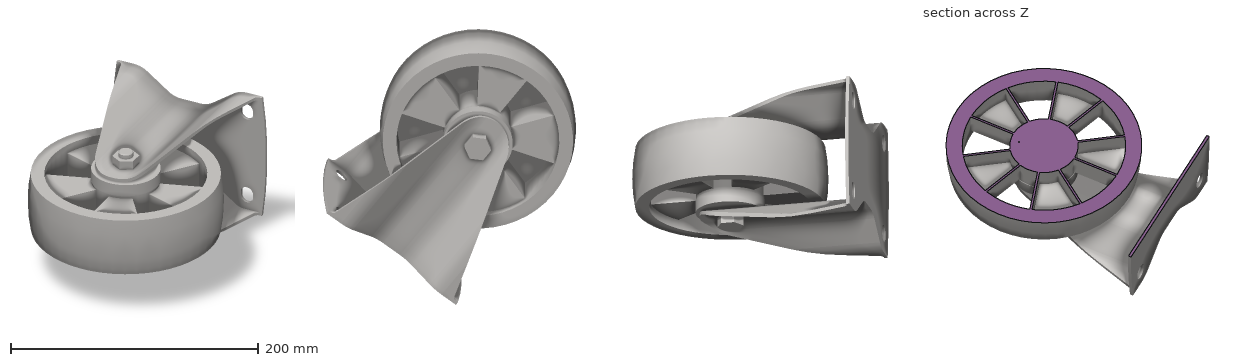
import cadquery as cq
import math


tread_radius = 159.0 / 2
tread_edge_radius = 77.0
wheel_width = 50.0
rim_bore_radius = 132.0 / 2
web_recess = 7.5
web_wall = 2.1
sector_count = 10
hub_radius = 27.8
hub_cap_radius = 28.2
hub_cap_height = 10.5
hub_half_width = 30.2

total_length = 194.5
bracket_height = 110.0
sheet = 2.7
leg_gap = 62.0
bend_angle = math.radians(35.5)
lower_bend_radius = 19.5
upper_bend_radius = 20.8
upper_bend_inner_radius = 11.7
leg_flat_half_width = 8.8
plate_half_width = 69.9
plate_end_half_width = 66.0
leg_tip_radius = 50.0 / 2
leg_root_half_width = 61.3
leg_root_fillet = 4.3

slot_width = 11.0
slot_length = 14.0
slot_spacing_x = 105.0
slot_spacing_z = 77.5

bolt_diameter = 12.0
bolt_chamfer = 0.8
bolt_protrusion = 4.3
spacer_diameter = 20.0
hex_across_flats = 18.9
hex_height = 7.8

wheel_half_width = wheel_width / 2
web_half_width = wheel_half_width - web_recess
plate_back_y = total_length - tread_radius
plate_inner_y = plate_back_y - sheet
leg_length = plate_back_y + leg_tip_radius
bracket_half_height = bracket_height / 2
leg_inner_z = leg_gap / 2
leg_outer_z = leg_inner_z + sheet
nut_top_z = leg_outer_z + hex_height
bolt_top_z = nut_top_z + bolt_protrusion


def disc(radius, z_bottom, z_top):
    return cq.Workplane("XY").workplane(offset=z_bottom).circle(radius).extrude(z_top - z_bottom)


def web_pocket(angle, z_bottom, z_top):
    """Sector pocket whose side walls leave half of web_wall on each sector boundary."""
    half_angle = math.pi / sector_count
    apex = web_wall / 2 / math.sin(half_angle)
    reach = tread_radius
    spread = (reach - apex) * math.tan(half_angle)
    wedge = (
        cq.Workplane("XY")
        .workplane(offset=z_bottom)
        .polyline([(apex, 0), (reach, -spread), (reach, spread)])
        .close()
        .extrude(z_top - z_bottom)
        .rotate((0, 0, 0), (0, 0, 1), angle)
    )
    ring = disc(rim_bore_radius, z_bottom, z_top).cut(disc(hub_radius, z_bottom, z_top))
    return wedge.intersect(ring)


def make_wheel():
    wheel = (
        cq.Workplane("XZ")
        .moveTo(0, -wheel_half_width)
        .lineTo(tread_edge_radius, -wheel_half_width)
        .threePointArc((tread_radius, 0), (tread_edge_radius, wheel_half_width))
        .lineTo(0, wheel_half_width)
        .close()
        .revolve(360, (0, 0, 0), (0, 1, 0))
    )
    wheel = wheel.cut(disc(rim_bore_radius, web_half_width, wheel_half_width))
    wheel = wheel.cut(disc(rim_bore_radius, -wheel_half_width, -web_half_width))

    for index in range(sector_count):
        angle = index * 360 / sector_count
        if index % 2:
            wheel = wheel.cut(web_pocket(angle, web_wall - web_half_width, web_half_width))
        else:
            wheel = wheel.cut(web_pocket(angle, -web_half_width, web_half_width - web_wall))

    wheel = wheel.union(disc(hub_radius, -hub_half_width, hub_half_width))
    cap_inner_z = hub_half_width - hub_cap_height
    wheel = wheel.union(disc(hub_cap_radius, cap_inner_z, hub_half_width))
    return wheel.union(disc(hub_cap_radius, -hub_half_width, -cap_inner_z))


def bracket_envelope(inset, high_r, length):
    """Prism from the plate back along -Y, bounded by the leg surfaces moved inwards by inset.

    high_r is the radius of the bends beside the upper flats. The lower bends stay concentric.
    """
    low_r = lower_bend_radius + inset
    sin_full, cos_full = math.sin(bend_angle), math.cos(bend_angle)
    sin_half, cos_half = math.sin(bend_angle / 2), math.cos(bend_angle / 2)

    low_z = leg_outer_z - inset
    high_z = bracket_half_height - inset
    slope_rise = bracket_half_height - leg_outer_z
    slope_rise -= (lower_bend_radius + upper_bend_radius) * (1 - cos_full)
    slope_run = slope_rise / math.tan(bend_angle)
    low_x = leg_flat_half_width
    high_x = low_x + (lower_bend_radius + upper_bend_radius) * sin_full + slope_run
    high_x -= (upper_bend_radius - inset - high_r) * math.tan(bend_angle / 2)

    low_mid = (low_x + low_r * sin_half, low_z + low_r * (1 - cos_half))
    low_end = (low_x + low_r * sin_full, low_z + low_r * (1 - cos_full))
    high_mid = (high_x - high_r * sin_half, high_z - high_r * (1 - cos_half))
    high_start = (high_x - high_r * sin_full, high_z - high_r * (1 - cos_full))

    quarter = (
        cq.Workplane("XZ", origin=(0, plate_back_y, 0))
        .lineTo(0, low_z)
        .lineTo(low_x, low_z)
        .threePointArc(low_mid, low_end)
        .lineTo(*high_start)
        .threePointArc(high_mid, (high_x, high_z))
        .lineTo(plate_half_width, high_z)
        .lineTo(plate_half_width, 0)
        .close()
        .extrude(length)
    )
    half = quarter.union(quarter.mirror("XY"))
    return half.union(half.mirror("YZ"))


def leg_outline():
    """Tapered legs: flanks tangent to the round tip, flared into the mounting plate."""
    root_distance = math.hypot(leg_root_half_width, plate_inner_y)
    tangent_angle = math.atan2(plate_inner_y, leg_root_half_width)
    tangent_angle -= math.acos(leg_tip_radius / root_distance)
    tangent_x = leg_tip_radius * math.cos(tangent_angle)
    tangent_y = leg_tip_radius * math.sin(tangent_angle)
    flanks = (
        cq.Workplane("XY")
        .workplane(offset=-bracket_half_height)
        .moveTo(tangent_x, tangent_y)
        .lineTo(leg_root_half_width, plate_inner_y)
        .lineTo(plate_half_width, plate_inner_y)
        .lineTo(plate_half_width, plate_back_y)
        .lineTo(-plate_half_width, plate_back_y)
        .lineTo(-plate_half_width, plate_inner_y)
        .lineTo(-leg_root_half_width, plate_inner_y)
        .lineTo(-tangent_x, tangent_y)
        .threePointArc((0, -leg_tip_radius), (tangent_x, tangent_y))
        .close()
        .extrude(bracket_height)
    )
    roots = cq.selectors.BoxSelector(
        (-leg_root_half_width - sheet / 2, plate_inner_y - sheet / 2, -bracket_height),
        (leg_root_half_width + sheet / 2, plate_inner_y + sheet / 2, bracket_height),
    )
    return flanks.edges("|Z").edges(roots).fillet(leg_root_fillet)


def make_bracket():
    bowed = (
        cq.Workplane("XZ", origin=(0, plate_back_y, 0))
        .moveTo(-plate_end_half_width, bracket_half_height)
        .lineTo(plate_end_half_width, bracket_half_height)
        .threePointArc((plate_half_width, 0), (plate_end_half_width, -bracket_half_height))
        .lineTo(-plate_end_half_width, -bracket_half_height)
        .threePointArc((-plate_half_width, 0), (-plate_end_half_width, bracket_half_height))
        .close()
        .extrude(leg_length)
    )
    plate = bracket_envelope(0, upper_bend_radius, sheet).intersect(bowed)
    slots = (
        cq.Workplane("XZ", origin=(0, plate_back_y, 0))
        .rarray(slot_spacing_x, slot_spacing_z, 2, 2)
        .slot2D(slot_length, slot_width, 90)
        .extrude(sheet)
    )
    plate = plate.cut(slots)

    legs = bracket_envelope(0, upper_bend_radius, leg_length)
    legs = legs.cut(bracket_envelope(sheet, upper_bend_inner_radius, leg_length))
    legs = legs.intersect(leg_outline()).intersect(bowed)
    return plate.union(legs)


def hexagon(z_bottom):
    across_corners = hex_across_flats / math.cos(math.pi / 6)
    return (
        cq.Workplane("XY")
        .workplane(offset=z_bottom)
        .transformed(rotate=(0, 0, 30))
        .polygon(6, across_corners)
        .extrude(hex_height)
    )


def make_axle():
    bolt = disc(bolt_diameter / 2, -nut_top_z, bolt_top_z).faces(">Z").chamfer(bolt_chamfer)
    spacer = disc(spacer_diameter / 2, -leg_inner_z, leg_inner_z)
    return bolt.union(spacer).union(hexagon(leg_outer_z)).union(hexagon(-nut_top_z))


result = make_bracket().union(make_wheel()).union(make_axle())